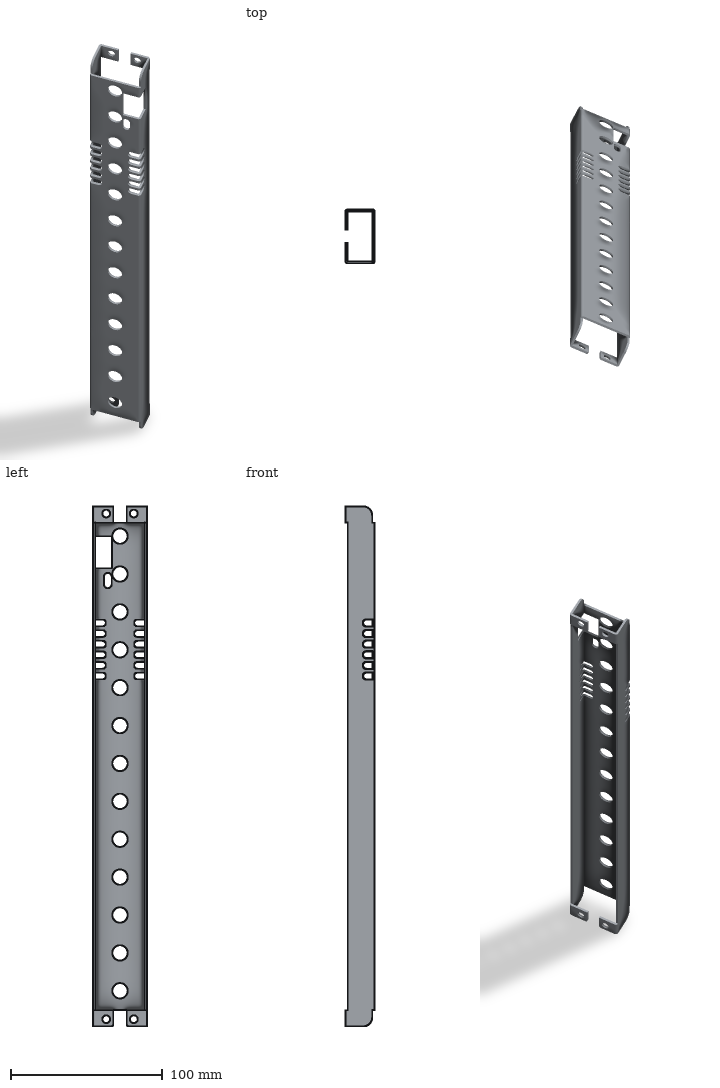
import cadquery as cq
import math

depth = 19.41
width = 35.66
height = 343.26
sheet = 1.5
bend_outer = 1.6
bend_inner = bend_outer - sheet

end_length = 10.8
lug_width = 13.5
lug_corner = 1.5
lug_hole_diameter = 5.0
lug_hole_spacing = 18.2
lug_hole_inset = 4.8
flange_radius = 6.0

web_hole_count = 13
web_hole_pitch = 25.0
web_hole_diameter = 10.0
first_hole_drop = 19.7

vent_count = 6
vent_pitch = 7.0
vent_height = 4.2
first_vent_drop = 77.0
vent_web_reach = 8.4
vent_flange_reach = 7.6
vent_flare = 0.4
vent_run = 20.0

window_height = 21.0
window_drop = 19.8
window_web_reach = 12.4
window_flange_reach = 10.2
oblong_length = 10.0
oblong_width = 5.0
oblong_drop = 49.0
oblong_inset = 9.8

top = height / 2
bottom = -height / 2
half_width = width / 2
flange_inner_y = half_width - sheet
web_inner_x = depth - sheet
vent_taper = math.degrees(math.atan2(vent_flare, sheet))


def box(x0, x1, y0, y1, z0, z1):
    """Box between two opposite corners."""
    return cq.Workplane("XY").box(x1 - x0, y1 - y0, z1 - z0, centered=False).translate((x0, y0, z0))


def bar_along_x(sketch, x0, x1):
    """Extrude a YZ sketch, drawn at X = 0, from x0 to x1."""
    return sketch.extrude(x1 - x0).translate((x0, 0, 0))


def closed_tube():
    """Rectangular sheet tube with rounded bends."""
    outer = box(0, depth, -half_width, half_width, bottom, top)
    outer = outer.edges("|Z").fillet(bend_outer)
    inner = box(sheet, web_inner_x, -flange_inner_y, flange_inner_y, bottom, top)
    inner = inner.edges("|Z").fillet(bend_inner)
    return outer.cut(inner)


def lug_corner_cuts(gap_half):
    """Spandrels that round the free bottom corner of both lower lugs."""
    corner = (
        cq.Workplane("YZ")
        .moveTo(gap_half, bottom)
        .lineTo(gap_half + lug_corner, bottom)
        .radiusArc((gap_half, bottom + lug_corner), lug_corner)
        .close()
    )
    cut = bar_along_x(corner, 0, sheet)
    return cut.union(cut.mirror("XZ"))


def open_side_cut():
    """Material removed from the open side, leaving a lug at each corner."""
    gap_half = half_width - lug_width
    gap = box(0, sheet, -gap_half, gap_half, bottom, top)
    between_lugs = box(0, bend_outer, -half_width, half_width, bottom + end_length, top - end_length)
    return gap.union(between_lugs).union(lug_corner_cuts(gap_half))


def flared_slot(plane, end, z):
    """Slot from its low-side end, narrowing inward from the workplane at the outer face."""
    slot = cq.Workplane(plane).center(end + vent_run / 2, z)
    return slot.slot2D(vent_run, vent_height + 2 * vent_flare).extrude(-bend_outer, taper=vent_taper)


def wrapped_vent(z):
    """Vent through the web, the -Y bend and the -Y flange."""
    flange_end = depth - vent_flange_reach - vent_flare
    flange_part = flared_slot("XZ", flange_end, z).translate((0, -half_width, 0))
    web_end = -half_width + vent_web_reach + vent_flare - vent_run
    web_part = flared_slot("YZ", web_end, z).translate((depth, 0, 0))
    return flange_part.union(web_part)


def window():
    """Rectangular window through the web, its +Y bend and the +Y flange."""
    z1 = top - window_drop
    z0 = z1 - window_height
    web_part = box(web_inner_x, depth, half_width - window_web_reach, half_width, z0, z1)
    flange_part = box(depth - window_flange_reach, depth, flange_inner_y, half_width, z0, z1)
    corner = box(depth - bend_outer, depth, half_width - bend_outer, half_width, z0, z1)
    return web_part.union(flange_part).union(corner)


def web_holes():
    """Row of round holes and the oblong slot, all through the web."""
    points = [(0, top - first_hole_drop - i * web_hole_pitch) for i in range(web_hole_count)]
    holes = cq.Workplane("YZ").pushPoints(points).circle(web_hole_diameter / 2)
    oblong = cq.Workplane("YZ").center(half_width - oblong_inset, top - oblong_drop)
    oblong = oblong.slot2D(oblong_length, oblong_width, 90)
    return bar_along_x(holes, web_inner_x, depth).union(bar_along_x(oblong, web_inner_x, depth))


def lug_holes():
    """One round hole in each of the four lugs."""
    hole_z = top - lug_hole_inset
    hole_y = lug_hole_spacing / 2
    points = [(y, z) for y in (-hole_y, hole_y) for z in (-hole_z, hole_z)]
    holes = cq.Workplane("YZ").pushPoints(points).circle(lug_hole_diameter / 2)
    return bar_along_x(holes, 0, sheet)


def side_profile():
    """XZ envelope: rounded flange corners, and a web that stops short of both ends."""
    flange_edge = depth - bend_outer
    web_top = top - end_length
    web_bottom = bottom + end_length
    outline = (
        cq.Workplane("XZ")
        .moveTo(0, bottom)
        .lineTo(flange_edge - flange_radius, bottom)
        .radiusArc((flange_edge, bottom + flange_radius), -flange_radius)
        .lineTo(flange_edge, web_bottom)
        .lineTo(depth, web_bottom)
        .lineTo(depth, web_top)
        .lineTo(flange_edge, web_top)
        .lineTo(flange_edge, top - flange_radius)
        .radiusArc((flange_edge - flange_radius, top), -flange_radius)
        .lineTo(0, top)
        .close()
    )
    return outline.extrude(half_width, both=True)


body = closed_tube().intersect(side_profile()).cut(open_side_cut())
for i in range(vent_count):
    vent = wrapped_vent(top - first_vent_drop - i * vent_pitch)
    body = body.cut(vent).cut(vent.mirror("XZ"))
result = body.cut(window()).cut(web_holes()).cut(lug_holes())